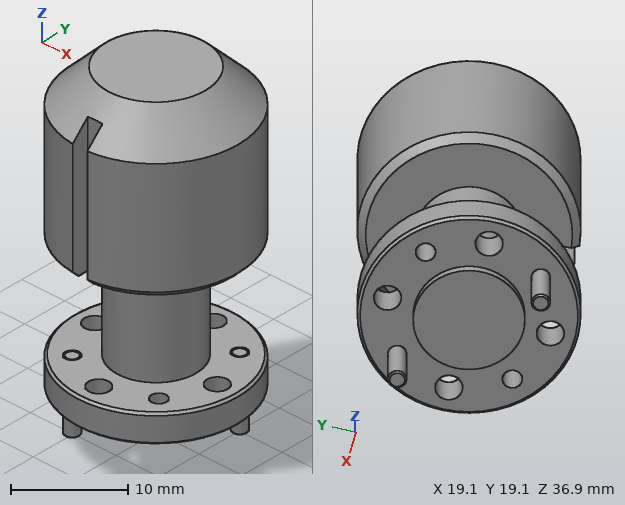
import cadquery as cq
import math

outer_diameter = 19.05
outer_radius = outer_diameter / 2
flange_thickness = 3.2
flange_chamfer = 0.25

pilot_diameter = 9.525
pilot_height = 0.8

stem_diameter = 9.25
stem_length = 11.5

knob_height = 17.47
knob_top_chamfer = 3.81
knob_bottom_chamfer = 0.72

slot_width = 1.7
slot_floor_radius = 7.6

pitch_radius = 14.29 / 2
screw_hole_diameter = 2.34
screw_hole_angles = (0, 90, 180, 270)
open_dowel_hole_diameter = 1.7
open_dowel_hole_angles = (135, 315)

pin_diameter = 1.6
pin_angles = (45, 225)
pin_chamfer = 0.15
overall_height = 36.89

knob_bottom = flange_thickness + stem_length
knob_top = knob_bottom + knob_height
pin_bottom = knob_top - overall_height
pin_length = flange_thickness - pin_bottom


def pitch_points(angles):
    """Points on the pitch circle at the given angles in degrees."""
    return [
        (pitch_radius * math.cos(math.radians(angle)), pitch_radius * math.sin(math.radians(angle)))
        for angle in angles
    ]


def cylinder(diameter, bottom, height):
    """Upright cylinder on the Z axis."""
    return cq.Workplane("XY").workplane(offset=bottom).circle(diameter / 2).extrude(height)


def flange_cutter(diameter, angles):
    """Cylinders that pass right through the flange on the pitch circle."""
    return cq.Workplane("XY").pushPoints(pitch_points(angles)).circle(diameter / 2).extrude(flange_thickness)


def make_flange():
    flange = cylinder(outer_diameter, 0, flange_thickness).edges().chamfer(flange_chamfer)
    flange = flange.cut(flange_cutter(screw_hole_diameter, screw_hole_angles))
    flange = flange.cut(flange_cutter(open_dowel_hole_diameter, open_dowel_hole_angles))
    return flange.cut(flange_cutter(pin_diameter, pin_angles))


def make_knob():
    knob = cylinder(outer_diameter, knob_bottom, knob_height)
    knob = knob.faces(">Z").edges().chamfer(knob_top_chamfer)
    knob = knob.faces("<Z").edges().chamfer(knob_bottom_chamfer)
    slot_depth = outer_radius - slot_floor_radius
    slot = (
        cq.Workplane("XY")
        .workplane(offset=knob_bottom)
        .center(0, -slot_floor_radius - slot_depth / 2)
        .rect(slot_width, slot_depth)
        .extrude(knob_height)
    )
    return knob.cut(slot)


def make_body():
    pilot = cylinder(pilot_diameter, -pilot_height, pilot_height)
    stem = cylinder(stem_diameter, flange_thickness, stem_length)
    return make_flange().union(pilot).union(stem).union(make_knob())


def make_pin(position):
    """Dowel pin, flush with the flange's upper face and chamfered at both ends."""
    pin = cylinder(pin_diameter, pin_bottom, pin_length).edges("%CIRCLE").chamfer(pin_chamfer)
    x, y = position
    return pin.translate((x, y, 0))


body = make_body()
pins = [make_pin(position) for position in pitch_points(pin_angles)]

result = cq.Compound.makeCompound([body.val(), *[pin.val() for pin in pins]])